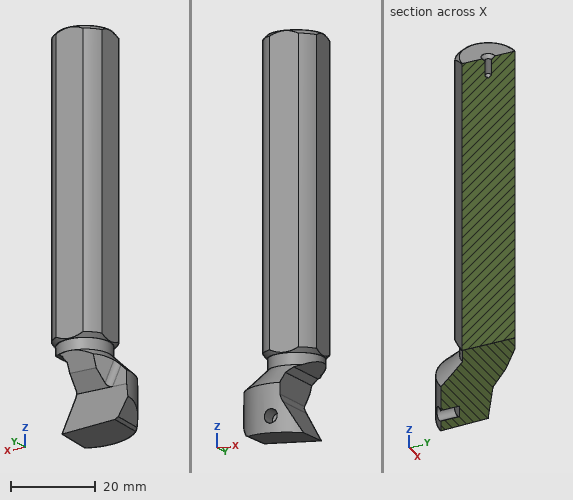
import cadquery as cq
import math

total_height = 99.3

shank_bottom = 20.8
shank_radius = 7.9
across_flats = 14.0
flat_distance = across_flats / 2
end_radius = 6.8
end_chamfer = shank_radius - end_radius
center_hole_radius = 1.7
center_hole_inner_radius = 0.8
center_cone_depth = center_hole_radius - center_hole_inner_radius
center_hole_depth = 5.0

head_offset = 0.1
neck_radius = flat_distance - head_offset
head_diameter = 25.1
head_radius = head_diameter / 2
neck_bottom = 17.9
flare_bottom = 12.4
cut_reach = 19.9

relief_x = 1.4
relief_top = 19.3
relief_shoulder_x = 2.6
relief_shoulder_z = 17.2
relief_wall_top = 15.5
relief_wall_bottom = 9.5
relief_knee_start = (2.2, 7.6)
tip_x = 6.75

rake_top_y = 1.3
rake_top_z = 8.9
rake_tip_y = -0.1
rear_mid_y = 4.7
rear_mid_z = 13.1

pocket_floor_end_x = -11.3
pocket_wall_start = (-9.4, 2.1)
pocket_wall_angle = 51.0
pocket_wall_length = 9.9
pocket_tilt = 25.0
pocket_pivot = (-7.9, 15.8)

heel_top = 5.6
heel_knee = (-9.3, 1.3)
heel_end = (-8.3, 0.8)
clearance_angle = 1.5
tip_y = -10.6

cross_hole_x = -1.0
cross_hole_z = 4.5
cross_hole_diameter = 3.5
cross_hole_depth = 5.0


def make_shank():
    """Four-flat bar with a conical center hole in its top end."""
    height = total_height - shank_bottom
    bar = cq.Workplane("XY").workplane(offset=shank_bottom).circle(shank_radius).extrude(height)
    bar = bar.faces("<Z or >Z").chamfer(end_chamfer)
    flats = (
        cq.Workplane("XY").workplane(offset=shank_bottom)
        .rect(2 * flat_distance, 2 * flat_distance).extrude(height)
    )
    center_hole = (
        cq.Workplane("XZ")
        .moveTo(0, total_height)
        .lineTo(center_hole_radius, total_height)
        .lineTo(center_hole_inner_radius, total_height - center_cone_depth)
        .lineTo(center_hole_inner_radius, total_height - center_hole_depth)
        .lineTo(0, total_height - center_hole_depth - center_hole_inner_radius)
        .close()
        .revolve(360, (0, 0, 0), (0, 1, 0))
    )
    return bar.intersect(flats).cut(center_hole)


def make_head_blank():
    """Turned neck, flare and cylinder."""
    profile = [
        (0, 0), (head_radius, 0), (head_radius, flare_bottom),
        (neck_radius, neck_bottom), (neck_radius, shank_bottom), (0, shank_bottom),
    ]
    blank = cq.Workplane("XZ").polyline(profile).close().revolve(360, (0, 0, 0), (0, 1, 0))
    return blank.translate((head_offset, head_offset, 0))


def make_side_relief():
    """Waisted relief that leaves the cutting tip standing out toward +X."""
    return (
        cq.Workplane("XZ")
        .moveTo(tip_x, 0)
        .lineTo(*relief_knee_start)
        .tangentArcPoint((relief_x, relief_wall_bottom), relative=False)
        .lineTo(relief_x, relief_wall_top)
        .lineTo(relief_shoulder_x, relief_shoulder_z)
        .lineTo(flat_distance, relief_top)
        .lineTo(cut_reach, relief_top)
        .lineTo(cut_reach, 0)
        .close()
        .extrude(cut_reach, both=True)
    )


def make_rear_cut():
    """Sloping back that runs down into the tilted rake face."""
    profile = [
        (rake_tip_y, 0), (rake_top_y, rake_top_z), (rear_mid_y, rear_mid_z),
        (flat_distance, neck_bottom), (cut_reach, neck_bottom), (cut_reach, 0),
    ]
    return cq.Workplane("YZ").polyline(profile).close().extrude(cut_reach, both=True)


def make_chip_pocket():
    """Leaning pocket with an oblique wall blended into its rear face."""
    angle = math.radians(pocket_wall_angle)
    direction = (math.cos(angle), math.sin(angle))
    wall_end = (
        pocket_wall_start[0] + pocket_wall_length * direction[0],
        pocket_wall_start[1] + pocket_wall_length * direction[1],
    )
    pocket = (
        cq.Workplane("XY")
        .moveTo(-2 * cut_reach, rake_top_y)
        .lineTo(pocket_floor_end_x, rake_top_y)
        .tangentArcPoint(pocket_wall_start, relative=False)
        .lineTo(*wall_end)
        .lineTo(-2 * cut_reach, wall_end[1])
        .close()
        .extrude(2 * cut_reach, both=True)
    )
    pivot_x, pivot_z = pocket_pivot
    return pocket.rotate((pivot_x, 0, pivot_z), (pivot_x, 1, pivot_z), -pocket_tilt)


def make_underside_cut():
    """Sloping heel and slightly inclined bottom clearance."""
    left_x = head_offset - head_radius
    profile = [
        (-cut_reach, -cut_reach), (-cut_reach, heel_top), (left_x, heel_top),
        heel_knee, heel_end, (tip_x, 0), (cut_reach, 0), (cut_reach, -cut_reach),
    ]
    cutter = cq.Workplane("XZ").polyline(profile).close().extrude(cut_reach, both=True)
    return cutter.rotate((0, tip_y, 0), (1, tip_y, 0), clearance_angle)


def make_cross_hole():
    """Blind hole along Y, entering from the -Y side of the head."""
    return (
        cq.Workplane("XZ", origin=(0, -head_radius + cross_hole_depth, 0))
        .center(cross_hole_x, cross_hole_z)
        .circle(cross_hole_diameter / 2)
        .extrude(cut_reach)
    )


def make_head():
    head = make_head_blank()
    head = head.cut(make_side_relief())
    head = head.cut(make_rear_cut())
    head = head.cut(make_chip_pocket())
    head = head.cut(make_underside_cut())
    return head.cut(make_cross_hole())


shank = make_shank()
head = make_head()
result = cq.Compound.makeCompound([shank.val(), head.val()])